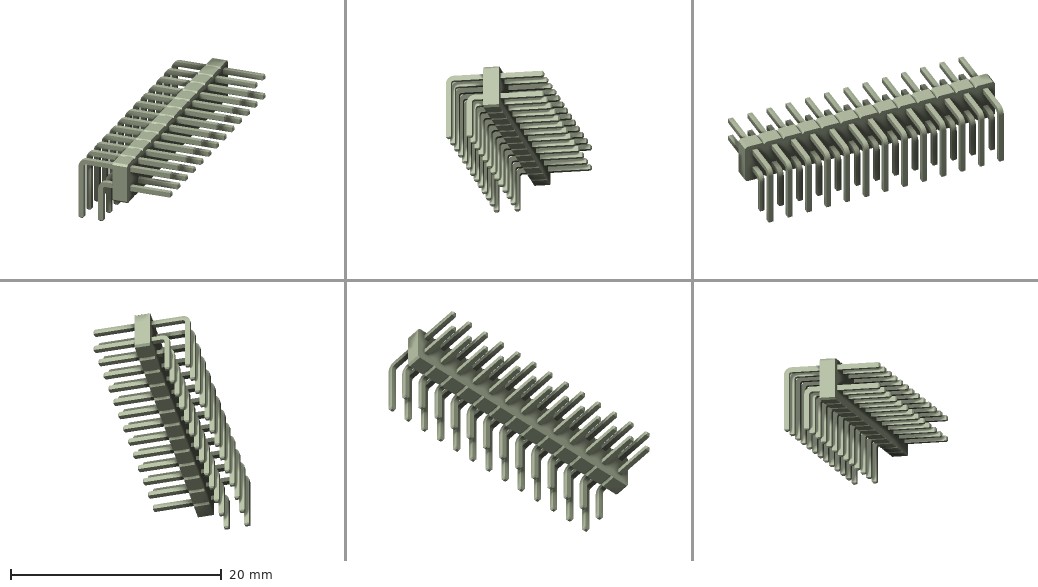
import cadquery as cq

positions = 13
length = 26.0
pitch = length / positions

body_width = 1.5
body_height = 4.0
notch = 0.2

pin_size = 0.5
outer_bend_radius = 0.75
inner_bend_radius = outer_bend_radius - pin_size
tip_chamfer = 0.13
upper_pin_drop = 0.5
upper_pin_reach = 3.75
mating_length = 4.19
overall_height = 6.65

leg_bottom = body_height - overall_height
mating_end = body_width + mating_length
segment_centers = [(i - (positions - 1) / 2) * pitch for i in range(positions)]


def make_segment(center_y):
    """One body position: a block whose four long corners are chamfered."""
    return (
        cq.Workplane("XY")
        .box(body_width, pitch, body_height, centered=(False, True, False))
        .edges("|X")
        .chamfer(notch)
        .translate((0, center_y, 0))
    )


def make_tip(plane):
    """Tapered square pin end that starts on the given plane."""
    end_size = pin_size - 2 * tip_chamfer
    return (
        cq.Workplane(plane)
        .rect(pin_size, pin_size)
        .workplane(offset=tip_chamfer)
        .rect(end_size, end_size)
        .loft(ruled=True)
    )


def make_pin(leg_x, top_z):
    """L-shaped pin centred on Y = 0, with its leg's outer face at leg_x and its top face at top_z."""
    half = pin_size / 2
    leg_end = leg_bottom + tip_chamfer
    straight_end = mating_end - tip_chamfer
    bend_x = leg_x + outer_bend_radius
    bend_z = top_z - outer_bend_radius
    shaft = (
        cq.Workplane("XZ")
        .moveTo(leg_x, leg_end)
        .lineTo(leg_x, bend_z)
        .radiusArc((bend_x, top_z), outer_bend_radius)
        .lineTo(straight_end, top_z)
        .lineTo(straight_end, top_z - pin_size)
        .lineTo(bend_x, top_z - pin_size)
        .radiusArc((leg_x + pin_size, bend_z), -inner_bend_radius)
        .lineTo(leg_x + pin_size, leg_end)
        .close()
        .extrude(half, both=True)
    )
    mating_plane = cq.Plane(origin=(straight_end, 0, top_z - half), xDir=(0, 1, 0), normal=(1, 0, 0))
    leg_plane = cq.Plane(origin=(leg_x + half, 0, leg_end), xDir=(1, 0, 0), normal=(0, 0, -1))
    return shaft.union(make_tip(mating_plane)).union(make_tip(leg_plane))


body = make_segment(segment_centers[0])
for center_y in segment_centers[1:]:
    body = body.union(make_segment(center_y))

upper_leg_x = -upper_pin_reach
upper_top_z = body_height - upper_pin_drop
upper_pin = make_pin(upper_leg_x, upper_top_z)
lower_pin = make_pin(upper_leg_x + pitch, upper_top_z - pitch)
pins = [
    pin.translate((0, center_y, 0)).val()
    for center_y in segment_centers
    for pin in (upper_pin, lower_pin)
]

result = cq.Workplane("XY").newObject([body.val().fuse(*pins)]).solids()